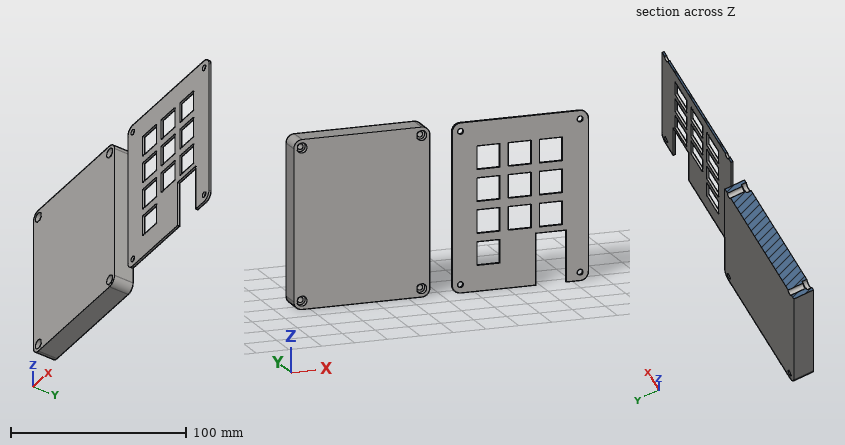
import cadquery as cq

total_length = 179.4
panel_width = 82.9
panel_height = 101.2
corner_radius = 5.0

case_depth = 13.0
plate_thickness = 1.5

screw_inset = corner_radius
screw_diameter = 3.4
head_diameter = 6.0
head_depth = 3.0

key_size = 14.0
key_corner_radius = 0.4
key_pitch = 19.0
first_key_from_left = 22.0
first_key_from_top = 21.7
keys_per_row = [3, 3, 3, 1]

notch_width = 18.5
notch_height = 30.9
notch_column = 2

case_center_x = (panel_width - total_length) / 2
plate_center_x = -case_center_x


def front_plane(center_x):
    """XZ workplane on the front face; its normal points along -Y, away from the panel."""
    return cq.Workplane(cq.Plane(origin=(center_x, 0, 0), xDir=(1, 0, 0), normal=(0, -1, 0)))


def make_panel(center_x, thickness):
    """Upright rounded rectangle extending back from y = 0."""
    panel = front_plane(center_x).rect(panel_width, panel_height).extrude(-thickness)
    return panel.edges("|Y").fillet(corner_radius)


def corner_holes(center_x, diameter, depth):
    """Four round cutters, one at each corner screw position."""
    spacing_x = panel_width - 2 * screw_inset
    spacing_z = panel_height - 2 * screw_inset
    corners = front_plane(center_x).rect(spacing_x, spacing_z, forConstruction=True).vertices()
    return corners.circle(diameter / 2).extrude(-depth)


def key_column_x(column):
    """Distance of a key column from the centre of the plate."""
    return first_key_from_left - panel_width / 2 + column * key_pitch


def key_openings():
    """Square cutters for the grid of keys, with slightly rounded corners."""
    first_row_z = panel_height / 2 - first_key_from_top
    centers = [
        (key_column_x(column), first_row_z - row * key_pitch)
        for row, key_count in enumerate(keys_per_row)
        for column in range(key_count)
    ]
    openings = front_plane(plate_center_x).pushPoints(centers).rect(key_size, key_size)
    return openings.extrude(-plate_thickness).edges("|Y").fillet(key_corner_radius)


def bottom_notch():
    """Rectangular cutter rising from the bottom edge of the plate."""
    center = (key_column_x(notch_column), (notch_height - panel_height) / 2)
    notch = front_plane(plate_center_x).center(*center).rect(notch_width, notch_height)
    return notch.extrude(-plate_thickness)


def make_case():
    """Thick block with counterbored screw holes."""
    case = make_panel(case_center_x, case_depth)
    case = case.cut(corner_holes(case_center_x, screw_diameter, case_depth))
    return case.cut(corner_holes(case_center_x, head_diameter, head_depth))


def make_key_plate():
    """Thin plate with screw holes, key openings and the bottom notch."""
    plate = make_panel(plate_center_x, plate_thickness)
    plate = plate.cut(corner_holes(plate_center_x, screw_diameter, plate_thickness))
    plate = plate.cut(key_openings())
    return plate.cut(bottom_notch())


case = make_case()
key_plate = make_key_plate()

result = cq.Compound.makeCompound([case.val(), key_plate.val()])